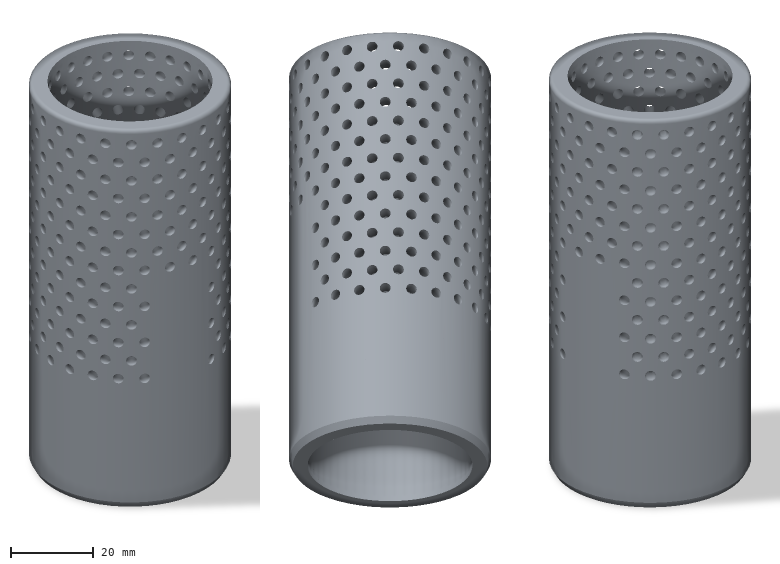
import cadquery as cq

length = 105.0
outer_diameter = 49.0
bore_diameter = 40.0
top_fillet = 1.0
bottom_chamfer_height = 1.7
bottom_chamfer_width = 0.9

hole_diameter = 2.6
row_count = 14
first_row_depth = 4.0
last_row_depth = 69.0
row_pitch = (last_row_depth - first_row_depth) / (row_count - 1)
holes_per_row = 24
full_row_count = 8
bare_half_angle = 20.0

outer_radius = outer_diameter / 2
bore_radius = bore_diameter / 2
hole_pitch_angle = 360.0 / holes_per_row


def make_sleeve():
    """Half section in the XZ plane, turned around the Z axis."""
    arc_offset = top_fillet * 0.5 ** 0.5
    fillet_center_x = outer_radius - top_fillet
    fillet_center_z = length - top_fillet
    return (
        cq.Workplane("XZ")
        .moveTo(bore_radius, 0)
        .lineTo(outer_radius - bottom_chamfer_width, 0)
        .lineTo(outer_radius, bottom_chamfer_height)
        .lineTo(outer_radius, fillet_center_z)
        .threePointArc(
            (fillet_center_x + arc_offset, fillet_center_z + arc_offset),
            (fillet_center_x, length),
        )
        .lineTo(bore_radius, length)
        .close()
        .revolve(360, (0, 0, 0), (0, 1, 0))
    )


def in_bare_strip(angle):
    """True where a direction lies within a plain strip around -X or +X."""
    angle_from_x_axis = min(angle % 180, 180 - angle % 180)
    return angle_from_x_axis < bare_half_angle


def row_angles(row):
    """Directions of the holes in one row; every second row is shifted by half a pitch."""
    shift = hole_pitch_angle / 2 if row % 2 else 0
    angles = [shift + i * hole_pitch_angle for i in range(holes_per_row)]
    if row < full_row_count:
        return angles
    return [angle for angle in angles if not in_bare_strip(angle)]


def make_hole_cutter(angle, height):
    """Radial pin that passes through the wall on one side only."""
    start_radius = bore_radius - hole_diameter / 2
    pin_length = outer_radius + hole_diameter / 2 - start_radius
    direction = cq.Vector(1, 0, 0)
    pin = cq.Solid.makeCylinder(
        hole_diameter / 2, pin_length, cq.Vector(start_radius, 0, height), direction
    )
    return pin.rotate(cq.Vector(0, 0, 0), cq.Vector(0, 0, 1), angle)


def make_hole_cutters():
    cutters = []
    for row in range(row_count):
        height = length - first_row_depth - row * row_pitch
        cutters += [make_hole_cutter(angle, height) for angle in row_angles(row)]
    return cutters


sleeve = make_sleeve().val()
result = cq.Workplane(sleeve.cut(*make_hole_cutters()))